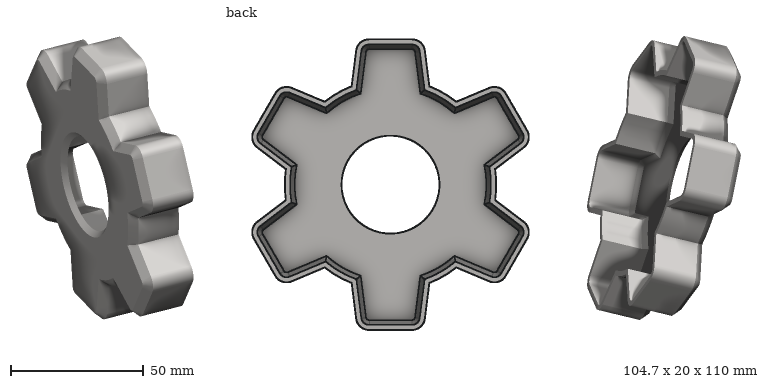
import cadquery as cq
import math

tip_radius = 55.0
depth = 20.0
wall = 2.0
edge_chamfer = 3.0

hub_radius = 40.0
tooth_count = 6
tip_width = 25.0
flank_angle = 7.2
tip_corner_radius = 5.0

hole_diameter = 37.0

front_y = -depth / 2
back_y = depth / 2
tip_half_width = tip_width / 2
axis_half_width = tip_half_width + tip_radius * math.tan(math.radians(flank_angle))
hole_radius = hole_diameter / 2
hole_front_radius = hole_radius + wall


def back_plane():
    """XZ plane at the open end; extruding runs towards -Y."""
    return cq.Workplane("XZ", origin=(0, back_y, 0))


def make_tooth():
    """Tapered tooth pointing to +Z, running from the hub axis to its rounded tip."""
    return (
        back_plane()
        .polyline([
            (-axis_half_width, 0),
            (-tip_half_width, tip_radius),
            (tip_half_width, tip_radius),
            (axis_half_width, 0),
        ])
        .close()
        .extrude(depth)
        .edges("|Y and >Z")
        .fillet(tip_corner_radius)
    )


def make_solid_gear():
    """Hub with evenly spaced teeth, chamfered around the closed face."""
    gear = back_plane().circle(hub_radius).extrude(depth)
    tooth = make_tooth()
    for index in range(tooth_count):
        turn = index * 360 / tooth_count
        gear = gear.union(tooth.rotate((0, 0, 0), (0, 1, 0), turn))
    return gear.clean().faces("<Y").chamfer(edge_chamfer)


def make_hole_cutter():
    """Cone that narrows at 45 degrees from the closed face to the cavity."""
    return (
        cq.Workplane("XY")
        .polyline([
            (0, front_y),
            (hole_front_radius, front_y),
            (hole_radius, front_y + wall),
            (0, front_y + wall),
        ])
        .close()
        .revolve(360, (0, 0, 0), (0, 1, 0))
    )


hollow_gear = make_solid_gear().faces(">Y").shell(-wall, kind="intersection")
result = hollow_gear.cut(make_hole_cutter())